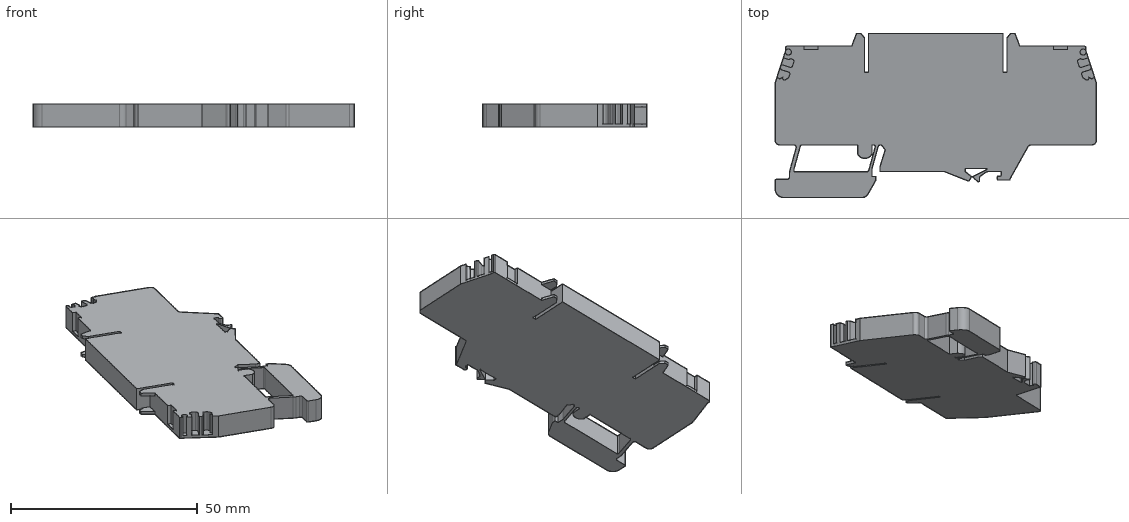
import cadquery as cq
import math

length = 86.0
width = 44.0
thickness = 6.2
wall = 0.8
half_length = length / 2
top_y = width / 2
bottom_y = -width / 2

block_half_width = 18.0
slot_width = 1.0
slot_floor_y = 11.6
latch_bevel_width = 1.05
latch_bevel_height = 1.3
latch_tip_outset = 2.2
latch_foot_width = 3.5
latch_inner_x = block_half_width + slot_width
latch_tip_inner_x = latch_inner_x + latch_bevel_width
latch_tip_outer_x = latch_inner_x + latch_tip_outset
latch_foot_x = latch_inner_x + latch_foot_width
latch_bevel_y = top_y - latch_bevel_height
shoulder_y = 18.6

end_slope = math.radians(18)
slope_start_y = 8.7
nose_y = 17.5
nose_height = 0.8
nose_bevel = 0.3
nose_x = half_length - (nose_y - slope_start_y) * math.tan(end_slope)
nose_corner_x = nose_x - nose_bevel

end_floor_y = -7.9
base_y = -15.0
end_corner_radius = 1.3

arm_lean = math.tan(math.radians(15.5))
arm_bend_y = -14.3
outer_arm_x = -38.95
outer_arm_inner_x = -37.9
inner_arm_x = -17.85
inner_arm_outer_x = -17.05
foot_shelf_y = -17.05
foot_toe_x = -16.0
foot_toe_bottom_y = -17.3
foot_toe_top_y = -16.3
foot_corner_radius = 2.4
foot_heel_radius = 2.0
foot_shelf_radius = 0.4
foot_step_radius = 0.6
foot_toe_radius = 0.6
outer_arm_bend_radius = 2.9
arm_root_radius = 0.6
opening_corner_radius = 0.4
foot_heel_x = -18.65

gap_bottom_x = -14.95
gap_bend_y = -13.7
gap_top_x = -14.55
gap_top_radius = 0.3
gap_corner_x = -13.55
gap_corner_y = -9.2

tab_left_x = -20.9
tab_right_x = -17.05
tab_side_y = -10.3
tab_bulge = 1.2

lip_start_x = 2.2
lip_tip = (8.8, -17.6)
lip_tip_radius = 0.2
clamp_meeting_y = -16.4
lip_edge_x = 9.65
hook_edge_x = 9.78
clamp_window_left_x = 7.9
clamp_window_right_x = 13.7
clamp_window_top_y = -14.2
clamp_window_right_height = 0.2
hook_tip = (11.35, -17.8)
hook_tip_radius = 0.1
hook_back_x = 11.75
hook_heel_y = -17.6
hook_root_x = 14.0
hook_shoulder_x = 13.4
hook_shoulder_y = -15.2
hook_back_radius = 0.3
hook_shoulder_radius = 0.6
claw_inner_x = 17.5
claw_tip_x = 16.45
claw_top_y = -16.2
claw_bottom_y = -17.3
claw_outer_x = 19.9
claw_slope_bottom_y = -16.95
claw_slope_top_x = 24.95
claw_slope_radius = 1.0
claw_radius = 0.3

notch_inner_x = 31.5
notch_length = 3.7
notch_depth = 1.0

socket_depth = 0.83
socket_height = 8.98
socket_radius = 0.8
socket_mouth = 0.9
pocket_depth = 3.05
pocket_overrun = 0.5
upper_pocket = [
    (-pocket_overrun, 7.1), (1.6, 7.1, 0.3), (2.0, 7.5, 0.3), (pocket_depth, 7.45, 0.6),
    (pocket_depth, 5.22, 0.6), (0.3, 5.22, 0.1), (0.0, 5.0), (-pocket_overrun, 5.0),
]
lower_pocket = [
    (-pocket_overrun, 4.4), (0.0, 4.4), (0.4, 3.9, 0.3), (pocket_depth, 3.9, 0.5),
    (pocket_depth, 2.5, 0.8), (2.1, 1.35, 0.4), (1.5, 1.8, 0.1), (1.5, 2.15), (0.9, 1.4, 0.3),
    (0.0, 1.6), (-pocket_overrun, 1.6),
]


def rounded_outline(corners):
    """Closed wire through corners (x, y) or (x, y, radius), rounding those with a radius."""
    wire = None
    count = len(corners)
    for i, corner in enumerate(corners):
        point = cq.Vector(*corner[:2])
        radius = corner[2] if len(corner) > 2 else 0
        if radius:
            to_last = (cq.Vector(*corners[i - 1][:2]) - point).normalized()
            to_next = (cq.Vector(*corners[(i + 1) % count][:2]) - point).normalized()
            half_angle = to_last.getAngle(to_next) / 2
            setback = radius / math.tan(half_angle)
            bisector = (to_last + to_next).normalized()
            middle = point + bisector * (radius / math.sin(half_angle) - radius)
            start = point + to_last * setback
            end = point + to_next * setback
            wire = wire.lineTo(start.x, start.y) if wire else cq.Workplane("XY").moveTo(start.x, start.y)
            wire = wire.threePointArc((middle.x, middle.y), (end.x, end.y))
        else:
            wire = wire.lineTo(*corner) if wire else cq.Workplane("XY").moveTo(*corner)
    return wire.close()


def leaning_x(bend_x, y):
    """X of an arm face at height y, given its X at the bend."""
    return bend_x + (y - arm_bend_y) * arm_lean


def end_and_latch(side):
    """Corners from the end face to the centre block; side is -1 for left, +1 for right."""
    corners = [
        (half_length, slope_start_y),
        (nose_x, nose_y),
        (nose_x, nose_y + nose_height),
        (nose_corner_x, shoulder_y),
        (latch_foot_x, shoulder_y),
        (latch_tip_outer_x, top_y),
        (latch_tip_inner_x, top_y),
        (latch_inner_x, latch_bevel_y),
        (latch_inner_x, slot_floor_y),
        (block_half_width, slot_floor_y),
        (block_half_width, top_y),
    ]
    return [(side * x, y) for x, y in corners]


def clamp_corners():
    """Lower right edge from the base to the right end: lip, spring hook and claw."""
    return [
        (lip_start_x, base_y),
        (*lip_tip, lip_tip_radius),
        (lip_edge_x, clamp_meeting_y),
        (clamp_window_left_x, base_y),
        (clamp_window_left_x, clamp_window_top_y),
        (clamp_window_right_x, clamp_window_top_y),
        (clamp_window_right_x, clamp_window_top_y - clamp_window_right_height),
        (hook_edge_x, clamp_meeting_y),
        (*hook_tip, hook_tip_radius),
        (hook_back_x, hook_heel_y),
        (hook_back_x, clamp_meeting_y, hook_back_radius),
        (hook_shoulder_x, hook_shoulder_y, hook_shoulder_radius),
        (hook_root_x, base_y),
        (claw_inner_x, base_y),
        (claw_inner_x, claw_top_y, claw_radius),
        (claw_tip_x, claw_top_y, claw_radius),
        (claw_tip_x, claw_bottom_y, claw_radius),
        (claw_outer_x, claw_bottom_y),
        (claw_outer_x, claw_slope_bottom_y),
        (claw_slope_top_x, end_floor_y, claw_slope_radius),
        (half_length, end_floor_y, end_corner_radius),
    ]


def foot_corners():
    """Lower left edge, from the body gap around the foot to the left end."""
    return [
        (-half_length, end_floor_y, end_corner_radius),
        (leaning_x(outer_arm_x, end_floor_y), end_floor_y, arm_root_radius),
        (leaning_x(outer_arm_x, base_y), base_y, outer_arm_bend_radius),
        (leaning_x(outer_arm_x, base_y), foot_shelf_y, foot_step_radius),
        (-half_length, foot_shelf_y, foot_shelf_radius),
        (-half_length, bottom_y, foot_corner_radius),
        (foot_heel_x, bottom_y, foot_heel_radius),
        (foot_toe_x, foot_toe_bottom_y, foot_toe_radius),
        (foot_toe_x, foot_toe_top_y),
        (inner_arm_outer_x, foot_toe_top_y),
        (inner_arm_outer_x, arm_bend_y),
        (leaning_x(inner_arm_outer_x, end_floor_y), end_floor_y, arm_root_radius),
        (gap_top_x, end_floor_y, gap_top_radius),
        (gap_corner_x, gap_corner_y),
        (gap_bottom_x, gap_bend_y),
        (gap_bottom_x, base_y),
    ]


def make_body():
    left = end_and_latch(-1)
    right = list(reversed(end_and_latch(1)))
    lower = foot_corners() + clamp_corners()
    return rounded_outline(left + right + list(reversed(lower))).extrude(thickness)


def foot_opening():
    """Opening between the arms, without the tab that hangs into it."""
    corners = [
        (leaning_x(outer_arm_inner_x, end_floor_y), end_floor_y, opening_corner_radius),
        (outer_arm_inner_x, arm_bend_y),
        (outer_arm_inner_x, base_y),
        (leaning_x(inner_arm_x, base_y), base_y, opening_corner_radius),
        (leaning_x(inner_arm_x, end_floor_y), end_floor_y, opening_corner_radius),
    ]
    return rounded_outline(corners).extrude(thickness)


def tab():
    return (
        cq.Workplane("XY")
        .moveTo(tab_left_x, end_floor_y)
        .lineTo(tab_left_x, tab_side_y)
        .threePointArc(((tab_left_x + tab_right_x) / 2, tab_side_y - tab_bulge), (tab_right_x, tab_side_y))
        .lineTo(tab_right_x, end_floor_y)
        .close()
        .extrude(thickness)
    )


def box_between(x0, x1, y0, y1, z0, z1):
    return cq.Workplane("XY").box(x1 - x0, y1 - y0, z1 - z0, centered=False).translate((x0, y0, z0))


def left_end_pockets():
    """Blind pockets opening on the left end face, drawn square to the face and then leaned."""
    depth = thickness - wall
    socket = cq.Workplane("XY").center(socket_depth, socket_height).circle(socket_radius).extrude(depth)
    mouth = box_between(
        -pocket_overrun, socket_depth,
        socket_height - socket_mouth / 2, socket_height + socket_mouth / 2,
        0, depth,
    )
    cutters = socket.union(mouth)
    for outline in (upper_pocket, lower_pocket):
        cutters = cutters.union(rounded_outline(outline).extrude(depth))
    leaned = cutters.rotate((0, 0, 0), (0, 0, 1), -math.degrees(end_slope))
    return leaned.translate((-half_length, slope_start_y, wall))


def left_shoulder_notch():
    outer_x = notch_inner_x + notch_length
    return box_between(-outer_x, -notch_inner_x, shoulder_y - notch_depth, shoulder_y, wall, thickness)


def left_latch_window():
    """Opening through the middle of the latch that leaves a thin prong at each face."""
    return box_between(-latch_foot_x, -latch_inner_x, shoulder_y, top_y, wall, thickness - wall)


result = make_body().cut(foot_opening().cut(tab()))
for left_cutter in (left_end_pockets(), left_shoulder_notch(), left_latch_window()):
    result = result.cut(left_cutter).cut(left_cutter.mirror("YZ"))